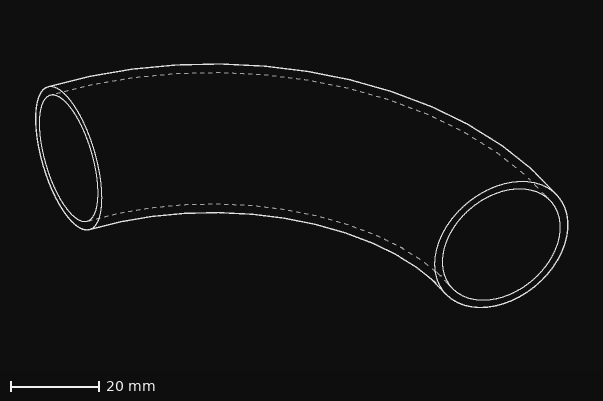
import cadquery as cq

overall_length = 89.85
outer_diameter = 33.7
wall_thickness = 2.0
bend_angle = 90.0

outer_radius = outer_diameter / 2
inner_radius = outer_radius - wall_thickness
bend_radius = overall_length - outer_radius


def pipe_bend():
    """Revolve the ring section about the vertical axis through the bend centre.

    The section starts on the -Y end face, centred on the origin, and the
    bend turns towards +X, so its far end faces +X.
    """
    ring = cq.Workplane("XZ").circle(outer_radius).circle(inner_radius)
    axis_start = (bend_radius, 0)
    axis_end = (bend_radius, -1)
    return ring.revolve(bend_angle, axis_start, axis_end)


result = pipe_bend()